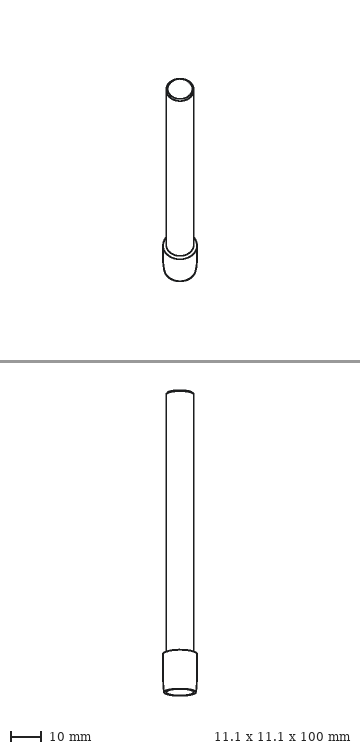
import cadquery as cq

rod_length = 100.0
rod_diameter = 9.0
rod_chamfer_width = 0.5
rod_chamfer_height = 0.5

sleeve_diameter = 11.1
sleeve_height = 13.2
sleeve_top_drop = 0.4
nose_height = 3.9
nose_end_diameter = 10.4

rod_radius = rod_diameter / 2
sleeve_radius = sleeve_diameter / 2
nose_end_radius = nose_end_diameter / 2


def make_rod():
    """Plain round rod standing on the ground plane, chamfered at its top."""
    rod = cq.Workplane("XY").circle(rod_radius).extrude(rod_length)
    return rod.faces(">Z").chamfer(rod_chamfer_height, rod_chamfer_width)


def make_sleeve():
    """Revolved ring with a sloping top and a nose that curves in towards the bottom."""
    profile = (
        cq.Workplane("XZ")
        .moveTo(rod_radius, 0)
        .lineTo(rod_radius, sleeve_height)
        .lineTo(sleeve_radius, sleeve_height - sleeve_top_drop)
        .lineTo(sleeve_radius, nose_height)
        .tangentArcPoint((nose_end_radius, 0), relative=False)
        .close()
    )
    return profile.revolve(360, (0, 0, 0), (0, 1, 0))


rod = make_rod()
sleeve = make_sleeve()

result = cq.Compound.makeCompound([rod.val(), sleeve.val()])